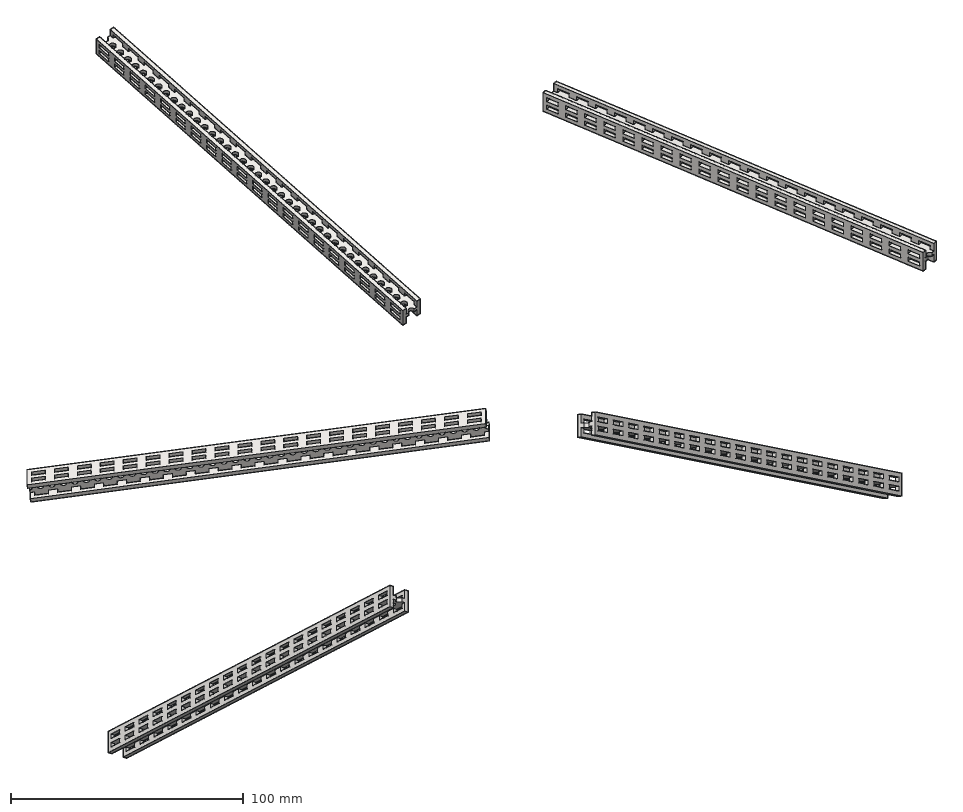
import cadquery as cq

length = 200.0
width = 10.0
height = 10.0
flange_thickness = 2.0
web_thickness = 2.0

hole_diameter = 3.0
hole_pitch = 5.0
hole_count = round(length / hole_pitch) + 1

slot_length = 6.0
slot_height = 2.0
slot_pitch = 10.0
slot_count = round(length / slot_pitch)
slot_row_offset = (web_thickness + slot_height) / 2


def make_rail():
    """Solid H-section: two upright flanges joined by a horizontal web."""
    rail = cq.Workplane("XY").box(length, width - flange_thickness, web_thickness)
    flange_offset = (width - flange_thickness) / 2
    for side in (-1, 1):
        flange = cq.Workplane("XY").box(length, flange_thickness, height)
        rail = rail.union(flange.translate((0, side * flange_offset, 0)))
    return rail


def make_web_holes():
    """Cutters for the vertical holes along the middle of the web."""
    return (
        cq.Workplane("XY")
        .rarray(hole_pitch, 1, hole_count, 1)
        .circle(hole_diameter / 2)
        .extrude(web_thickness, both=True)
    )


def make_flange_slots():
    """Cutters for the slots, running across the full width."""
    return (
        cq.Workplane("XZ")
        .rarray(slot_pitch, 2 * slot_row_offset, slot_count, 2)
        .rect(slot_length, slot_height)
        .extrude(width, both=True)
    )


result = make_rail().cut(make_web_holes()).cut(make_flange_slots())